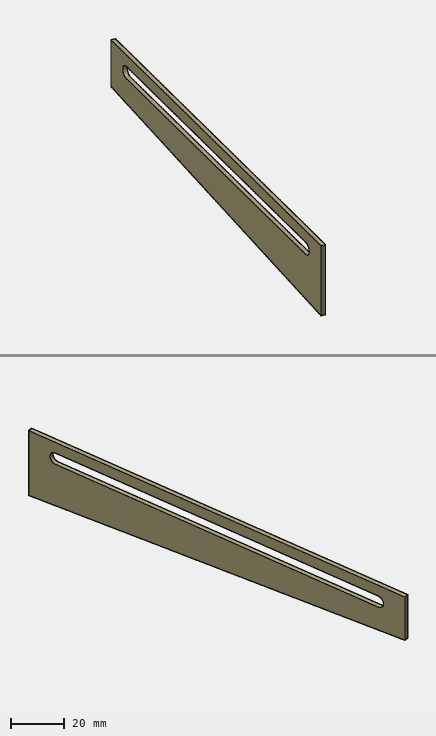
import cadquery as cq

length = 175.0
thickness = 2.0
short_end_height = 20.0
tall_end_height = 30.0
slot_width = 5.0
slot_end_margin = 10.0
slot_drop = 7.5

slot_length = length - 2 * slot_end_margin


def tapered_plate():
    """Upright plate with a level top edge and a sloping bottom edge."""
    outline = [
        (0, 0),
        (length, 0),
        (length, -tall_end_height),
        (0, -short_end_height),
    ]
    return cq.Workplane("XZ").polyline(outline).close().extrude(thickness)


def long_slot():
    """Round-ended slot that passes through the plate, parallel to its top edge."""
    return (
        cq.Workplane("XZ")
        .center(length / 2, -slot_drop)
        .slot2D(slot_length, slot_width)
        .extrude(thickness)
    )


result = tapered_plate().cut(long_slot())